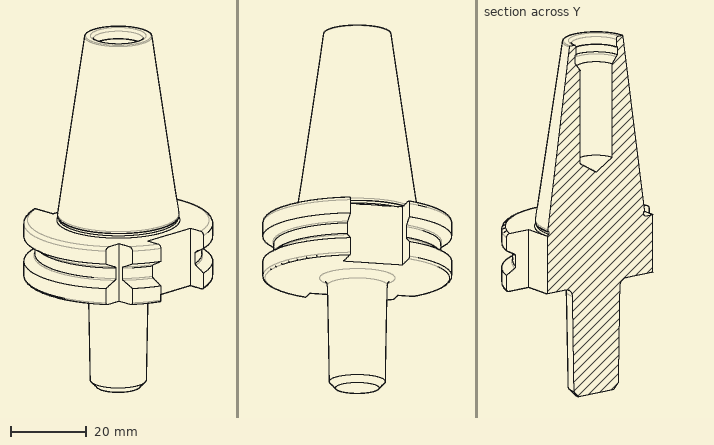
import cadquery as cq
import math

total_height = 96.8
flange_bottom = 30.0
flange_height = 15.9
flange_top = flange_bottom + flange_height
flange_middle = flange_bottom + flange_height / 2

shank_tip_radius = 7.5
shank_root_radius = 7.9
tip_chamfer_height = 1.7
tip_chamfer_width = 1.6
root_fillet = 2.0

flange_radius = 25.0
flange_top_round = 1.0
flange_bottom_round = 0.6
groove_floor_radius = 22.1
groove_mouth_half = 3.4
groove_wall_angle = 30.0
groove_corner_round = 0.5

neck_radius = 15.8
neck_height = 1.2
neck_root_chamfer = 0.5
gauge_band_height = 0.6
taper_base_radius = 16.1
taper_ratio = 7 / 48
taper_tip_round = 0.3

key_width = 16.1
left_key_floor = 16.3
right_key_floor = 18.8
notch_offset = 15.0

bore_radius = 6.6
bore_mouth_round = 0.8
bore_depth = 5.5
relief_radius = 7.0
relief_top_depth = 2.9
relief_chamfer = 0.5
drill_radius = 5.2
seat_depth = 1.7
drill_depth = 32.9
drill_point_angle = 118.0

selection_margin = 0.1


def circle_at(radius, height):
    """Select the circular edge of the given radius centred on the axis at the given height."""
    outer = radius + selection_margin
    inner = radius - selection_margin
    low = height - selection_margin
    high = height + selection_margin
    within_outer = cq.selectors.BoxSelector((-outer, -outer, low), (outer, outer, high), boundingbox=True)
    within_inner = cq.selectors.BoxSelector((-inner, -inner, low), (inner, inner, high), boundingbox=True)
    return within_outer - within_inner


def make_body():
    """Revolve the shank, grooved flange, neck and taper as one outline."""
    neck_top = flange_top + neck_height
    taper_base = neck_top + gauge_band_height
    taper_tip_radius = taper_base_radius - (total_height - taper_base) * taper_ratio
    groove_depth = flange_radius - groove_floor_radius
    groove_floor_half = groove_mouth_half - groove_depth * math.tan(math.radians(groove_wall_angle))
    fillet_diagonal = root_fillet * (1 - math.sqrt(0.5))

    outline = (
        cq.Workplane("XZ")
        .lineTo(shank_tip_radius - tip_chamfer_width, 0)
        .lineTo(shank_tip_radius, tip_chamfer_height)
        .lineTo(shank_root_radius, flange_bottom - root_fillet)
        .threePointArc(
            (shank_root_radius + fillet_diagonal, flange_bottom - fillet_diagonal),
            (shank_root_radius + root_fillet, flange_bottom),
        )
        .lineTo(flange_radius, flange_bottom)
        .lineTo(flange_radius, flange_middle - groove_mouth_half)
        .lineTo(groove_floor_radius, flange_middle - groove_floor_half)
        .lineTo(groove_floor_radius, flange_middle + groove_floor_half)
        .lineTo(flange_radius, flange_middle + groove_mouth_half)
        .lineTo(flange_radius, flange_top)
        .lineTo(neck_radius + neck_root_chamfer, flange_top)
        .lineTo(neck_radius, flange_top + neck_root_chamfer)
        .lineTo(neck_radius, neck_top)
        .lineTo(taper_base_radius, neck_top)
        .lineTo(taper_base_radius, taper_base)
        .lineTo(taper_tip_radius, total_height)
        .lineTo(0, total_height)
        .close()
    )
    body = outline.revolve(360, (0, 0, 0), (0, 1, 0))
    body = body.faces(">Z").edges().fillet(taper_tip_round)

    body = body.edges(circle_at(flange_radius, flange_top)).fillet(flange_top_round)
    body = body.edges(circle_at(flange_radius, flange_bottom)).fillet(flange_bottom_round)
    for side in (-1, 1):
        corner = circle_at(groove_floor_radius, flange_middle + side * groove_floor_half)
        body = body.edges(corner).fillet(groove_corner_round)
    return body


def flange_cutter(x_start, x_end, y_start, y_end):
    """Box spanning the flange height between the given X and Y limits."""
    return (
        cq.Workplane("XY", origin=(x_start, y_start, flange_bottom))
        .rect(x_end - x_start, y_end - y_start, centered=False)
        .extrude(flange_height)
    )


def make_bore():
    """Bore with a rounded mouth and relief groove, conical seat and pointed drill hole."""
    bore_bottom = total_height - bore_depth
    relief_top = total_height - relief_top_depth
    mouth_diagonal = bore_mouth_round * (1 - math.sqrt(0.5))
    drill_bottom = total_height - drill_depth
    point_height = drill_radius / math.tan(math.radians(drill_point_angle / 2))
    return (
        cq.Workplane("XZ")
        .moveTo(0, total_height)
        .lineTo(bore_radius + bore_mouth_round, total_height)
        .threePointArc(
            (bore_radius + mouth_diagonal, total_height - mouth_diagonal),
            (bore_radius, total_height - bore_mouth_round),
        )
        .lineTo(bore_radius, relief_top)
        .lineTo(relief_radius, relief_top)
        .lineTo(relief_radius, bore_bottom + relief_chamfer)
        .lineTo(bore_radius, bore_bottom)
        .lineTo(drill_radius, bore_bottom - seat_depth)
        .lineTo(drill_radius, drill_bottom)
        .lineTo(0, drill_bottom - point_height)
        .close()
        .revolve(360, (0, 0, 0), (0, 1, 0))
    )


key_half = key_width / 2
left_key = flange_cutter(-flange_radius, -left_key_floor, -key_half, key_half)
right_key = flange_cutter(right_key_floor, flange_radius, -key_half, key_half)
notch = flange_cutter(notch_offset, flange_radius, -flange_radius, -notch_offset)

result = make_body().cut(left_key).cut(right_key).cut(notch).cut(make_bore())